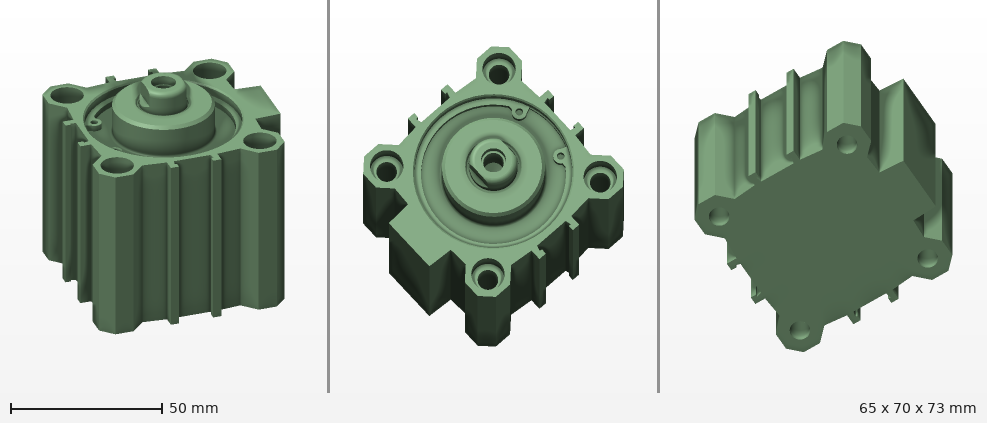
import cadquery as cq
import math


total_height = 73.0
housing_height = 59.4
boss_top = 65.55
flange_top = 54.25
bore_floor = 40.15

pad_half_width = 32.5
pad_inner_edge = 21.9
pad_chamfer = 4.2
pad_flank = 4.75
back_pad_flank = 4.4
wall_half_width = 28.55
front_wall = 28.4
back_wall = 28.5
fin_outer_offset = 8.8
port_face = 37.5
port_root_half_width = 10.5
port_tip_half_width = 10.0

fin_root_inner_offset = 6.35
fin_neck_inner_offset = 6.85
fin_hook_inner_offset = 6.0
fin_hook_length = 2.0
fin_embed = 0.7
side_fin_tip = pad_half_width
front_fin_tip = 32.2

mount_offset = 25.0
mount_hole_diameter = 6.8
mount_counterbore_diameter = 11.0
mount_counterbore_depth = 6.8

bore_diameter = 52.2
bore_chamfer = 0.5

ring_outer_radius = 55.2 / 2
ring_inner_radius = 23.95
ring_thickness = 2.05
ear_x = 10.2
ear_y = -20.65
ear_radius = 2.5
ear_hole_diameter = 2.5
ear_shoulder_y = -19.4
ear_end_angle = -40.0
ring_end_x = 9.8

flange_diameter = 51.8
boss_diameter = 34.0
boss_chamfer = 1.0
boss_root_fillet = 0.8
wiper_recess_diameter = 17.7
wiper_recess_depth = 0.5
wiper_gap_diameter = 16.6
wiper_gap_depth = 1.45

rod_diameter = 16.0
rod_edge_fillet = 1.8
flat_half_width = 6.5
flat_length = 5.55
socket_diameter = 8.25
socket_depth = 3.1
pilot_diameter = 6.8
pilot_depth = 14.6
drill_point_angle = 166.0


def revolved(section):
    """Solid of revolution about the bore axis from (radius, height) points."""
    return cq.Workplane("XZ").polyline(section).close().revolve(360, (0, 0, 0), (0, 1, 0))


def housing_outline():
    """Right half of the outline from front to back, closed by its mirror image."""
    pad_corner = pad_half_width - pad_chamfer
    right_half = [
        (fin_outer_offset, -front_wall),
        (pad_inner_edge - pad_flank, -pad_half_width + pad_flank),
        (pad_inner_edge, -pad_half_width),
        (pad_corner, -pad_half_width),
        (pad_half_width, -pad_corner),
        (pad_half_width, -pad_inner_edge),
        (pad_half_width - pad_flank, -pad_inner_edge + pad_flank),
        (wall_half_width, -fin_outer_offset),
        (wall_half_width, fin_outer_offset),
        (pad_half_width - pad_flank, pad_inner_edge - pad_flank),
        (pad_half_width, pad_inner_edge),
        (pad_half_width, pad_corner),
        (pad_corner, pad_half_width),
        (pad_inner_edge, pad_half_width),
        (pad_inner_edge - back_pad_flank, pad_half_width - back_pad_flank),
        (port_root_half_width, back_wall),
        (port_tip_half_width, port_face),
    ]
    left_half = [(-x, y) for x, y in reversed(right_half)]
    return right_half + left_half


def fin_pair(wall, tip, angle):
    """Two facing hooked fins on the wall that lies at this angle from +X."""
    neck = tip - fin_hook_length
    profile = [
        (wall, fin_outer_offset),
        (tip, fin_outer_offset),
        (tip, fin_hook_inner_offset),
        (neck, fin_hook_inner_offset),
        (neck, fin_neck_inner_offset),
        (wall, fin_root_inner_offset),
        (wall - fin_embed, fin_root_inner_offset),
        (wall - fin_embed, fin_outer_offset),
    ]
    fin = cq.Workplane("XY").polyline(profile).close().extrude(housing_height)
    return fin.union(fin.mirror("XZ")).rotate((0, 0, 0), (0, 0, 1), angle)


def make_housing():
    body = cq.Workplane("XY").polyline(housing_outline()).close().extrude(housing_height)
    body = body.union(fin_pair(wall_half_width, side_fin_tip, 0))
    body = body.union(fin_pair(wall_half_width, side_fin_tip, 180))
    body = body.union(fin_pair(front_wall, front_fin_tip, -90))

    body = (
        body.faces(">Z").workplane(origin=(0, 0, housing_height))
        .rect(2 * mount_offset, 2 * mount_offset, forConstruction=True).vertices()
        .cboreHole(mount_hole_diameter, mount_counterbore_diameter, mount_counterbore_depth)
    )

    bore_radius = bore_diameter / 2
    groove_top = flange_top + ring_thickness
    bore_section = [
        (0, bore_floor),
        (bore_radius, bore_floor),
        (bore_radius, flange_top),
        (ring_outer_radius, flange_top),
        (ring_outer_radius, groove_top),
        (bore_radius, groove_top),
        (bore_radius, housing_height - bore_chamfer),
        (bore_radius + bore_chamfer, housing_height),
        (0, housing_height),
    ]
    return body.cut(revolved(bore_section))


def make_head_cover():
    boss_radius = boss_diameter / 2
    flange_radius = flange_diameter / 2
    rod_radius = rod_diameter / 2
    recess_radius = wiper_recess_diameter / 2
    gap_radius = wiper_gap_diameter / 2
    recess_floor = boss_top - wiper_recess_depth
    gap_floor = boss_top - wiper_gap_depth
    fillet_middle = boss_root_fillet * (1 - math.sqrt(0.5))

    section = (
        cq.Workplane("XZ")
        .moveTo(rod_radius, bore_floor)
        .lineTo(flange_radius, bore_floor)
        .lineTo(flange_radius, flange_top)
        .lineTo(boss_radius + boss_root_fillet, flange_top)
        .threePointArc(
            (boss_radius + fillet_middle, flange_top + fillet_middle),
            (boss_radius, flange_top + boss_root_fillet),
        )
        .lineTo(boss_radius, boss_top - boss_chamfer)
        .lineTo(boss_radius - boss_chamfer, boss_top)
        .lineTo(recess_radius + wiper_recess_depth, boss_top)
        .lineTo(recess_radius, recess_floor)
        .lineTo(gap_radius, recess_floor)
        .lineTo(gap_radius, gap_floor)
        .lineTo(rod_radius, gap_floor)
        .close()
    )
    return section.revolve(360, (0, 0, 0), (0, 1, 0))


def make_rod():
    length = total_height - bore_floor
    rod = cq.Workplane("XY", origin=(0, 0, bore_floor)).circle(rod_diameter / 2).extrude(length)
    rod = rod.faces(">Z").edges().fillet(rod_edge_fillet)

    flat_bottom = total_height - flat_length
    run_out = rod_diameter / 2 - flat_half_width
    flat_section = [
        (flat_half_width, total_height),
        (flat_half_width, flat_bottom),
        (flat_half_width + run_out, flat_bottom - run_out),
        (flat_half_width + run_out, total_height),
    ]
    flat = cq.Workplane("YZ").polyline(flat_section).close().extrude(rod_diameter / 2, both=True)
    rod = rod.cut(flat).cut(flat.mirror("XZ"))

    step = total_height - socket_depth
    pilot_bottom = total_height - pilot_depth
    pilot_radius = pilot_diameter / 2
    tip = pilot_bottom - pilot_radius / math.tan(math.radians(drill_point_angle / 2))
    socket_section = [
        (0, tip),
        (pilot_radius, pilot_bottom),
        (pilot_radius, step),
        (socket_diameter / 2, step),
        (socket_diameter / 2, total_height),
        (0, total_height),
    ]
    return rod.cut(revolved(socket_section))


def make_snap_ring():
    end_y = -math.sqrt(ring_outer_radius ** 2 - ring_end_x ** 2)
    shoulder_x = math.sqrt(ring_inner_radius ** 2 - ear_shoulder_y ** 2)
    ear_start_x = ear_x + math.sqrt(ear_radius ** 2 - (ear_shoulder_y - ear_y) ** 2)
    ear_end_x = ear_x - ear_radius * math.cos(math.radians(ear_end_angle))
    ear_end_y = ear_y + ear_radius * math.sin(math.radians(ear_end_angle))
    ear_peak = ear_y + ear_radius

    ring = (
        cq.Workplane("XY", origin=(0, 0, flange_top))
        .moveTo(ring_end_x, end_y)
        .threePointArc((0, ring_outer_radius), (-ring_end_x, end_y))
        .lineTo(-ear_end_x, ear_end_y)
        .threePointArc((-ear_x, ear_peak), (-ear_start_x, ear_shoulder_y))
        .lineTo(-shoulder_x, ear_shoulder_y)
        .threePointArc((0, ring_inner_radius), (shoulder_x, ear_shoulder_y))
        .lineTo(ear_start_x, ear_shoulder_y)
        .threePointArc((ear_x, ear_peak), (ear_end_x, ear_end_y))
        .close()
        .extrude(ring_thickness)
    )
    holes = (
        cq.Workplane("XY", origin=(0, 0, flange_top))
        .pushPoints([(-ear_x, ear_y), (ear_x, ear_y)])
        .circle(ear_hole_diameter / 2)
        .extrude(ring_thickness)
    )
    return ring.cut(holes)


housing = make_housing()
head_cover = make_head_cover()
rod = make_rod()
snap_ring = make_snap_ring()

result = cq.Compound.makeCompound([housing.val(), head_cover.val(), rod.val(), snap_ring.val()])